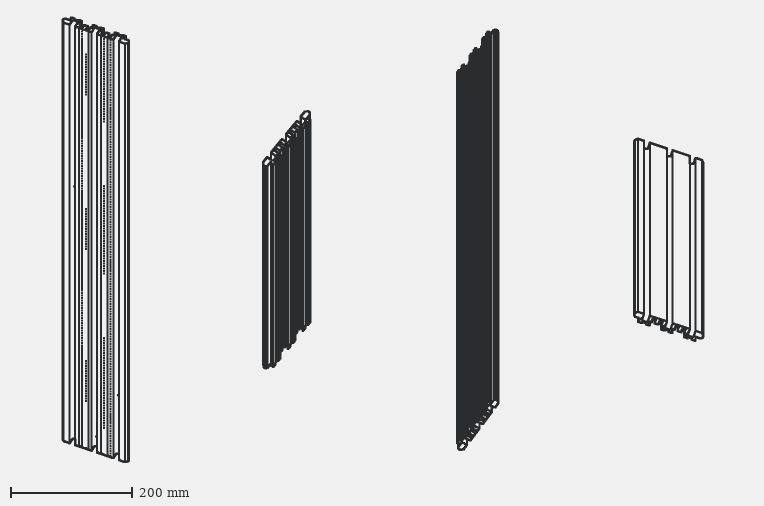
import cadquery as cq

length = 1000.0
width = 120.0

head_pitch = 40.0
head_count = 3
head_half_width = 10.0

slot_floor = 2.0
ledge_level = 10.0
lip_underside = 15.0
lip_thickness = 1.4
height = lip_underside + lip_thickness

undercut_half_width = 12.0
lower_half_width = 8.5
rib_half_width = 3.5

channel_half_width = 5.0
channel_ceiling = 12.0
channel_fillet = 2.5

groove_half_width = 3.5
groove_depth = 2.0

flank_undercut_depth = 1.8
flank_undercut_top = 14.0

flange_bottom_chamfer = 4.0
flange_top_chamfer = 2.5

head_centers = [(i - (head_count - 1) / 2) * head_pitch for i in range(head_count)]
slot_centers = [(a + b) / 2 for a, b in zip(head_centers, head_centers[1:])]


def bar(left, right, bottom, top):
    """Full-length bar covering the given rectangle of the cross-section."""
    return cq.Workplane("XY").box(
        right - left, top - bottom, length, centered=(False, False, True)
    ).translate((left, bottom, 0))


def centered_bar(center, half_width, bottom, top):
    """Full-length bar reaching half_width to either side of the center."""
    return bar(center - half_width, center + half_width, bottom, top)


def t_slot(center):
    """Slot with a wide undercut below the lips and a rib standing on its floor."""
    mouth_half_width = head_pitch / 2 - head_half_width
    mouth = centered_bar(center, mouth_half_width, ledge_level, height)
    undercut = centered_bar(center, undercut_half_width, ledge_level, lip_underside)
    lower = centered_bar(center, lower_half_width, slot_floor, ledge_level)
    rib = centered_bar(center, rib_half_width, slot_floor, ledge_level)
    return mouth.union(undercut).union(lower.cut(rib))


def channel(center):
    """Hollow under a head, with rounded corners along its ceiling."""
    hollow = centered_bar(center, channel_half_width, 0, channel_ceiling)
    return hollow.faces(">Y").edges("|Z").fillet(channel_fillet)


def head_groove(center):
    """Shallow groove in the top face of a head."""
    return centered_bar(center, groove_half_width, height - groove_depth, height)


def flank_undercut(x):
    """Wedge that narrows the right-hand flank at x towards the flange."""
    wedge = cq.Workplane("XY").polyline([
        (x, flank_undercut_top),
        (x, ledge_level),
        (x - flank_undercut_depth, ledge_level),
    ]).close()
    return wedge.extrude(length / 2, both=True)


half_width = width / 2
body = centered_bar(0, half_width, 0, ledge_level)
body = body.faces("<Y").edges("|Z").chamfer(flange_bottom_chamfer)
body = body.faces(">Y").edges("|Z").chamfer(flange_top_chamfer)

raised_half_width = head_centers[-1] + head_half_width
body = body.union(centered_bar(0, raised_half_width, ledge_level, height))

right_undercut = flank_undercut(raised_half_width)
body = body.cut(right_undercut).cut(right_undercut.mirror("YZ"))

for x in slot_centers:
    body = body.cut(t_slot(x))

for x in head_centers:
    body = body.cut(channel(x)).cut(head_groove(x))

result = body.translate((0, -height / 2, 0))